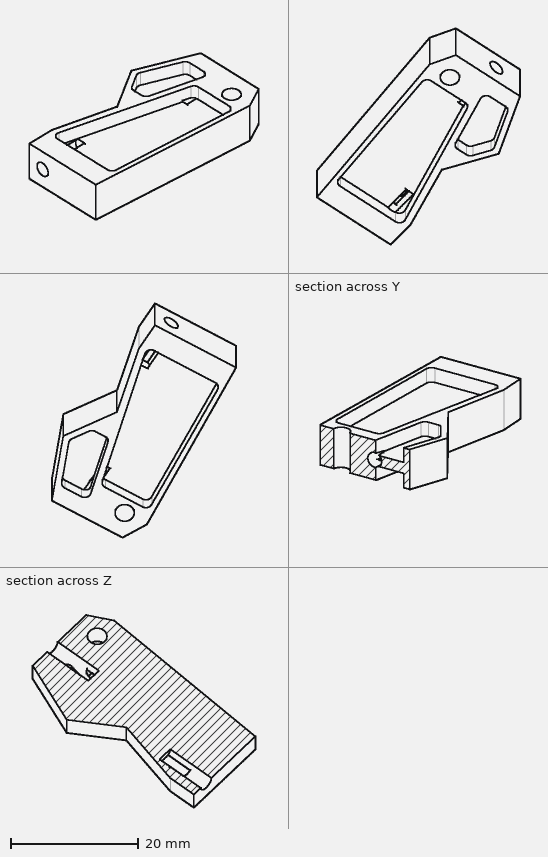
import cadquery as cq

length = 35.5
width = 19.5
thickness = 7.0

web_thickness = 2.0
pocket_depth = (thickness - web_thickness) / 2
corner_radius = 1.0

cross_hole_diameter = 3.0
cross_hole_x = 15.4
shoulder_y = 31.5
end_hole_diameter = 2.5
end_hole_depth = 8.52
lower_hole_x = 5.05
upper_hole_x = 9.25

body_outline = [
    (2.05, 0),
    (16.95, 0),
    (width, shoulder_y),
    (17.43, length),
    (4.47, length),
    (0, 24.55),
    (5.0, 16.5),
    (2.05, 4.95),
]

large_pocket_bottom = 4.0
large_pocket_top = 29.1
large_pocket_outline = [
    (3.0, large_pocket_bottom),
    (16.4, large_pocket_bottom),
    (18.35, large_pocket_top),
    (9.65, large_pocket_top),
]

small_pocket_bottom = 21.25
small_pocket_top = 32.5
small_pocket_outline = [
    (3.3, small_pocket_bottom),
    (6.43, small_pocket_bottom),
    (9.37, small_pocket_top),
    (4.35, small_pocket_top),
    (1.17, 24.7),
]


def prism(outline, bottom, height):
    """Upright prism on a closed polygon."""
    return cq.Workplane("XY").workplane(offset=bottom).polyline(outline).close().extrude(height)


def end_hole(x, start_y):
    """Flat-ended cylinder along +Y at mid thickness."""
    start = cq.Vector(x, start_y, 0)
    return cq.Solid.makeCylinder(end_hole_diameter / 2, end_hole_depth, start, cq.Vector(0, 1, 0))


result = prism(body_outline, -thickness / 2, thickness)

for pocket_outline in (large_pocket_outline, small_pocket_outline):
    for pocket_floor in (web_thickness / 2, -thickness / 2):
        pocket = prism(pocket_outline, pocket_floor, pocket_depth).edges("|Z").fillet(corner_radius)
        result = result.cut(pocket)

cross_hole = (
    cq.Workplane("XY")
    .center(cross_hole_x, shoulder_y)
    .circle(cross_hole_diameter / 2)
    .extrude(thickness, both=True)
)
result = result.cut(cross_hole)

result = result.cut(cq.Workplane(end_hole(lower_hole_x, 0)))
result = result.cut(cq.Workplane(end_hole(upper_hole_x, length - end_hole_depth)))